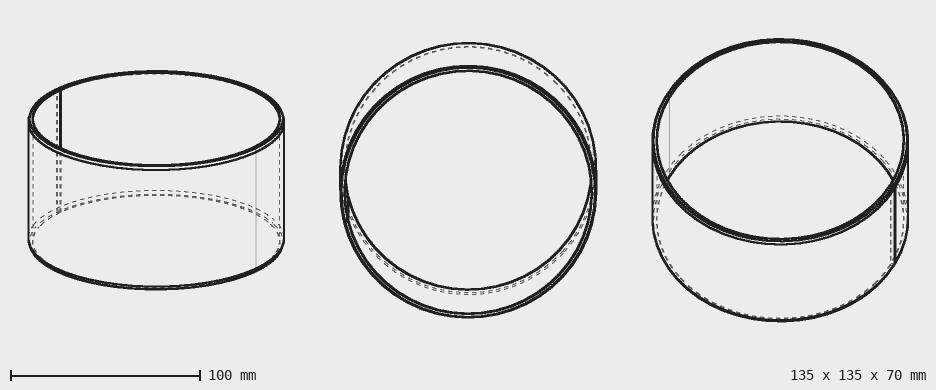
import cadquery as cq

outer_diameter = 135.0
length = 70.0
inner_diameter = 130.0
outer_chamfer_height = 1.9
outer_chamfer_depth = 0.7
inner_chamfer = 0.3
split_width = 1.0

outer_radius = outer_diameter / 2
inner_radius = inner_diameter / 2
wall = outer_radius - inner_radius
half_length = length / 2


def bushing_ring():
    """Revolve the wall section, with both rims chamfered inside and out."""
    section = [
        (inner_radius, half_length - inner_chamfer),
        (inner_radius + inner_chamfer, half_length),
        (outer_radius - outer_chamfer_depth, half_length),
        (outer_radius, half_length - outer_chamfer_height),
    ]
    mirrored = [(r, -z) for r, z in reversed(section)]
    return cq.Workplane("XZ").polyline(section + mirrored).close().revolve(360, (0, 0, 0), (0, 1, 0))


def split():
    """Full-length gap through the wall at -X, with one face on the XZ plane."""
    gap = cq.Workplane("XY").box(2 * wall, split_width, 2 * length)
    return gap.translate((-inner_radius, split_width / 2, 0))


result = bushing_ring().cut(split())